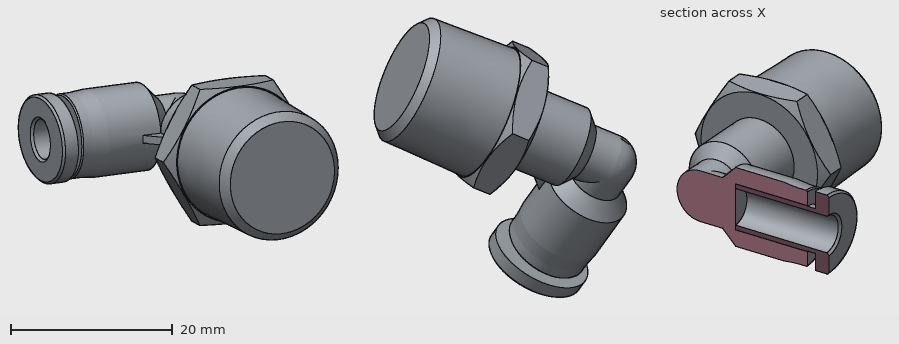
import cadquery as cq
import math


bend_radius = 3.55
stem_radius = 10.4 / 2
stem_shoulder = stem_radius
tube_radius = 11.0 / 2
tube_shoulder = stem_radius
taper_start = 12.4
taper_end = 14.4
tip_radius = 10.6 / 2
tip_end = 15.9
tip_chamfer = 0.18

rib_leg = 2.45
rib_thickness = 1.0

hex_start = 13.03
hex_length = 3.95
hex_sides = 6
hex_flats = 17.45
hex_face_radius = 8.65
hex_chamfer_angle = 30
thread_end = 29.0
thread_root_radius = 8.52
thread_tip_radius = 8.2
thread_chamfer = 1.03

sleeve_radius = 6.3 / 2
sleeve_start = tube_shoulder
bore_radius = 5.0 / 2
flange_start = 17.05
flange_end = 19.1
flange_width = 13.0
flange_height = 11.0
flange_chamfer = 0.3
bore_chamfer = 0.32


def revolve_x(profile):
    """Revolve (distance along X, radius) points about the X axis."""
    return cq.Workplane("XY").polyline(profile).close().revolve(360, (0, 0), (1, 0))


def revolve_y(profile):
    """Revolve (distance along -Y, radius) points about the Y axis."""
    points = [(radius, -distance) for distance, radius in profile]
    return cq.Workplane("XY").polyline(points).close().revolve(360, (0, 0), (0, 1))


def make_stem_leg():
    cone_start = stem_shoulder - (stem_radius - bend_radius)
    return revolve_x([
        (0, 0),
        (0, bend_radius),
        (cone_start, bend_radius),
        (stem_shoulder, stem_radius),
        (hex_start, stem_radius),
        (hex_start, 0),
    ])


def make_tube_leg():
    cone_start = tube_shoulder - (tube_radius - bend_radius)
    return revolve_y([
        (0, 0),
        (0, bend_radius),
        (cone_start, bend_radius),
        (tube_shoulder, tube_radius),
        (taper_start, tube_radius),
        (taper_end, tip_radius),
        (tip_end - tip_chamfer, tip_radius),
        (tip_end, tip_radius - tip_chamfer),
        (tip_end, 0),
    ])


def make_rib():
    rib_right = tube_radius + rib_leg
    rib_bottom = -stem_radius - rib_leg
    return (
        cq.Workplane("XY")
        .polyline([
            (bend_radius, -bend_radius),
            (rib_right, -bend_radius),
            (rib_right, -stem_radius),
            (tube_radius, rib_bottom),
            (bend_radius, rib_bottom),
        ])
        .close()
        .extrude(rib_thickness / 2, both=True)
    )


def make_elbow():
    socket = revolve_y([
        (sleeve_start, 0),
        (sleeve_start, sleeve_radius),
        (tip_end, sleeve_radius),
        (tip_end, 0),
    ])
    bend = cq.Workplane("XY").sphere(bend_radius)
    return make_stem_leg().union(make_tube_leg()).union(bend).union(make_rib()).cut(socket)


def make_hex():
    """Hexagon with corners on the Y axis and conical chamfers on both faces."""
    corner_radius = hex_flats / 2 / math.cos(math.pi / hex_sides)
    hex_end = hex_start + hex_length
    chamfer_length = (corner_radius - hex_face_radius) * math.tan(math.radians(hex_chamfer_angle))
    prism = (
        cq.Workplane("YZ", origin=(hex_start, 0, 0))
        .polygon(hex_sides, 2 * corner_radius)
        .extrude(hex_length)
    )
    envelope = revolve_x([
        (hex_start, 0),
        (hex_start, hex_face_radius),
        (hex_start + chamfer_length, corner_radius),
        (hex_end - chamfer_length, corner_radius),
        (hex_end, hex_face_radius),
        (hex_end, 0),
    ])
    return prism.intersect(envelope)


def make_threaded_body():
    hex_end = hex_start + hex_length
    thread = revolve_x([
        (hex_end, 0),
        (hex_end, thread_root_radius),
        (thread_end - thread_chamfer, thread_tip_radius),
        (thread_end, thread_tip_radius - thread_chamfer),
        (thread_end, 0),
    ])
    return make_hex().union(thread)


def make_collet():
    sleeve = revolve_y([
        (sleeve_start, 0),
        (sleeve_start, sleeve_radius),
        (flange_start, sleeve_radius),
        (flange_start, 0),
    ])
    flange = (
        cq.Workplane("XZ", origin=(0, -flange_start, 0))
        .ellipse(flange_width / 2, flange_height / 2)
        .extrude(flange_end - flange_start)
        .faces("<Y")
        .chamfer(flange_chamfer)
    )
    bore = revolve_y([
        (sleeve_start, 0),
        (sleeve_start, bore_radius),
        (flange_end - bore_chamfer, bore_radius),
        (flange_end, bore_radius + bore_chamfer),
        (flange_end, 0),
    ])
    return sleeve.union(flange).cut(bore)


elbow = make_elbow()
threaded_body = make_threaded_body()
collet = make_collet()

result = cq.Compound.makeCompound([
    elbow.solids().val(),
    threaded_body.solids().val(),
    collet.solids().val(),
])